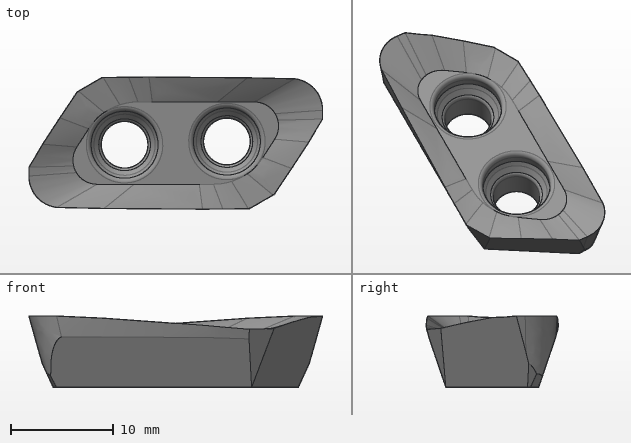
import cadquery as cq
import math


nose_height = 7.0
plateau_height = 5.35
half_length = 14.4
base_half_width = 4.55

nose_radius = 3.1
nose_radius_taper = 0.06
nose_centre_y = -3.23
nose_shift_x = 0.22
nose_shift_y = -0.02
nose_arc_ends = (180, 263)

land_corner_y = -7.0
land_corner_taper = 0.38

flank_lean = 0.34
heel = (7.43, -4.55, 0)
toe = (12.0, 3.45, 0)
nose_tip = (half_length, 2.35, nose_height)
chamfer_start = (7.15, -6.48, 5.7)
chamfer_end = (9.53, -5.1, 5.75)
relief_lean = 0.132
relief_end = (-12.0, -3.75, 0)
relief_top = (-12.65, -4.38, 1.38)
flank_corner = (-11.7, -base_half_width, 0)

plateau_half_width = 4.03
end_angle = 57.0
end_offset = 7.92
acute_radius = 2.35
blunt_radius = 5.75

long_edge_first = (-6.95, -6.35, 6.75)
long_edge_second = (2.62, -6.45, 6.08)
long_edge_third = (4.6, -6.45, 5.9)
end_edge_first = (11.25, -2.45, 6.35)
end_edge_second = (12.85, 0.12, 6.77)
plateau_first = (-4.1, -plateau_half_width, plateau_height)
plateau_second = (2.3, -plateau_half_width, plateau_height)
tip, strip, top = 14, 31, 90
bevel_start, bevel_end = -72, -55
bottom = -90
end = end_angle - 90
rake_run_out = 1.4

hole_x = 5.0
hole_y = 0.158
hole_radius = 2.28
rim_radius = 3.75
rim_round = 0.45
bore_radius = rim_radius - rim_round
bore_depth = 1.25
seat_top = (3.0, -1.6)
seat_bottom = (2.53, -2.1)
throat_depth = 2.48

margin = 0.3
waste_size = 4 * half_length


def half_turn(shape):
    return shape.rotate((0, 0, 0), (0, 0, 1), 180)


def opposite(point):
    return (-point[0], -point[1], *point[2:])


def nose_arc(z):
    """Start, middle and end of the -X nose arc at height z."""
    drop = nose_height - z
    radius = nose_radius - nose_radius_taper * drop
    centre_x = -half_length + nose_radius + nose_shift_x * drop
    centre_y = nose_centre_y + nose_shift_y * drop
    start, end = nose_arc_ends
    angles = [math.radians(degrees) for degrees in (start, (start + end) / 2, end)]
    return [
        (centre_x + radius * math.cos(angle), centre_y + radius * math.sin(angle), z)
        for angle in angles
    ]


def envelope_outline(z):
    """Outline at height z: a four-sided shape with two opposite corners rounded by the noses."""
    start, middle, end = nose_arc(z)
    corner_y = land_corner_y + land_corner_taper * (nose_height - z)
    corner = (-start[0], corner_y, z)
    edges = [
        cq.Edge.makeThreePointArc(cq.Vector(start), cq.Vector(middle), cq.Vector(end)),
        cq.Edge.makeLine(cq.Vector(end), cq.Vector(corner)),
        cq.Edge.makeLine(cq.Vector(corner), cq.Vector(opposite(start))),
    ]
    return cq.Wire.assembleEdges(edges + [half_turn(edge) for edge in edges])


def trim_both_ends(body, first, second, third):
    """Cut off what lies beyond the plane through three points, and its half-turn copy."""
    origin = cq.Vector(*first)
    along = cq.Vector(*second) - origin
    normal = along.cross(cq.Vector(*third) - origin)
    if normal.dot(origin) < 0:
        normal = normal * -1
    plane = cq.Plane(origin=origin, xDir=along, normal=normal)
    waste = cq.Workplane(plane).rect(waste_size, waste_size).extrude(waste_size).val()
    return body.cut(waste).cut(half_turn(waste))


def make_body():
    """Insert before the top is shaped: noses and lands trimmed by the flat flanks."""
    outlines = [envelope_outline(0), envelope_outline(nose_height + margin)]
    body = cq.Solid.makeLoft(outlines, True)
    flank_top = (0, -base_half_width - flank_lean * nose_height, nose_height)
    body = trim_both_ends(body, (0, -base_half_width, 0), flank_corner, flank_top)
    body = trim_both_ends(body, heel, toe, nose_tip)
    body = trim_both_ends(body, heel, chamfer_start, chamfer_end)
    relief_out = (relief_end[0] - relief_lean, relief_end[1], 0.3)
    body = trim_both_ends(body, opposite(toe), relief_end, relief_out)
    return trim_both_ends(body, relief_end, flank_corner, relief_top)


end_normal = math.radians(end)


def corner_centre(radius, y):
    x = (end_offset - radius - y * math.sin(end_normal)) / math.cos(end_normal)
    return (x, y)


acute_centre = corner_centre(acute_radius, plateau_half_width - acute_radius)
blunt_centre = corner_centre(blunt_radius, blunt_radius - plateau_half_width)


def on_corner(centre, radius, degrees):
    angle = math.radians(degrees)
    return (
        centre[0] + radius * math.cos(angle),
        centre[1] + radius * math.sin(angle),
        plateau_height,
    )


def acute(degrees):
    return on_corner(acute_centre, acute_radius, degrees)


def blunt(degrees):
    return on_corner(blunt_centre, blunt_radius, degrees)


def make_rake_cutter():
    """Space above the plateau and the ruled rake faces that climb to the cutting edges."""
    nose_start, nose_middle, nose_end = nose_arc(nose_height)

    start = (opposite(nose_tip), opposite(acute(tip)))
    faces = [
        ((nose_start, opposite(acute(strip))), opposite(acute((tip + strip) / 2))),
        ((nose_end, opposite(acute(top))), opposite(acute((strip + top) / 2))),
        ((long_edge_first, plateau_first), None),
        ((long_edge_second, plateau_second), None),
        ((long_edge_third, blunt(bottom)), None),
        ((chamfer_start, blunt(bevel_start)), blunt((bottom + bevel_start) / 2)),
        ((chamfer_end, blunt(bevel_end)), blunt((bevel_start + bevel_end) / 2)),
        ((end_edge_first, blunt(end)), blunt((bevel_end + end) / 2)),
        ((end_edge_second, acute(end)), None),
        ((nose_tip, acute(tip)), acute((end + tip) / 2)),
    ]

    def run_out(edge_point, plateau_point):
        inner = cq.Vector(*plateau_point)
        return inner + (cq.Vector(*edge_point) - inner) * rake_run_out

    rise = cq.Vector(0, 0, nose_height)
    half_sides = []
    inner_edges = []
    upper_edges = []
    for finish, inner_middle in faces:
        outer_ends = [run_out(*start), run_out(*finish)]
        inner_ends = [cq.Vector(*start[1]), cq.Vector(*finish[1])]
        if inner_middle:
            inner = cq.Edge.makeThreePointArc(inner_ends[0], cq.Vector(*inner_middle), inner_ends[1])
        else:
            inner = cq.Edge.makeLine(*inner_ends)
        if finish[0] == nose_end:
            outer_middle = run_out(nose_middle, inner_middle)
            outer = cq.Edge.makeThreePointArc(outer_ends[0], outer_middle, outer_ends[1])
        else:
            outer = cq.Edge.makeLine(*outer_ends)
        half_sides.append(cq.Face.makeRuledSurface(inner, outer))
        half_sides.append(cq.Face.makeRuledSurface(outer, outer.moved(cq.Location(rise))))
        inner_edges.append(inner)
        upper_edges.append(outer.moved(cq.Location(rise)))
        start = finish

    def closed(edges):
        return cq.Wire.assembleEdges(edges + [half_turn(edge) for edge in edges])

    plateau = cq.Face.makeFromWires(closed(inner_edges))
    lid = cq.Face.makeNSidedSurface(closed(upper_edges).Edges(), [])
    sides = half_sides + [half_turn(face) for face in half_sides]
    return cq.Solid.makeSolid(cq.Shell.makeShell(sides + [plateau, lid]))


def make_hole():
    """Screw hole with a rounded rim, a counterbore and a conical screw seat."""
    hole_end = -plateau_height - margin
    profile = (
        cq.Workplane("XZ", origin=(hole_x, hole_y, plateau_height))
        .moveTo(0, hole_end)
        .lineTo(hole_radius, hole_end)
        .lineTo(hole_radius, -throat_depth)
        .tangentArcPoint(seat_bottom, relative=False)
        .lineTo(*seat_top)
        .tangentArcPoint((bore_radius, -bore_depth), relative=False)
        .lineTo(bore_radius, -rim_round)
        .tangentArcPoint((rim_radius, 0), relative=False)
        .lineTo(rim_radius, nose_height)
        .lineTo(0, nose_height)
        .close()
    )
    return profile.revolve(360, (0, 0, 0), (0, 1, 0)).val()


hole = make_hole()
insert = make_body().cut(make_rake_cutter()).cut(hole).cut(half_turn(hole))
result = cq.Workplane("XY").newObject(insert.Solids())